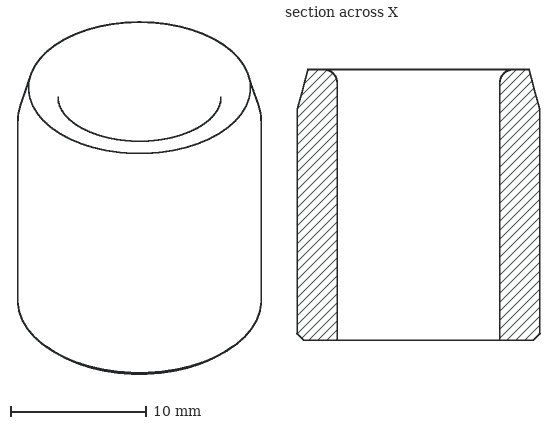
import cadquery as cq
import math

outer_diameter = 18.0
bore_diameter = 12.0
height = 20.0
taper_height = 3.0
taper_angle = 15.0
bottom_chamfer = 0.5
bore_entry_radius = 1.0

outer_radius = outer_diameter / 2
shoulder_z = height - taper_height
top_radius = outer_radius - taper_height * math.tan(math.radians(taper_angle))


def make_outer_body():
    """Solid of revolution: chamfered foot, cylinder and tapered nose, standing on Z = 0."""
    half_profile = (
        cq.Workplane("XZ")
        .moveTo(0, 0)
        .lineTo(outer_radius - bottom_chamfer, 0)
        .lineTo(outer_radius, bottom_chamfer)
        .lineTo(outer_radius, shoulder_z)
        .lineTo(top_radius, height)
        .lineTo(0, height)
        .close()
    )
    return half_profile.revolve(360, (0, 0, 0), (0, 1, 0))


def cut_bore(body):
    """Through bore along Z."""
    return body.faces(">Z").workplane().hole(bore_diameter)


def round_bore_entry(body):
    """Rounded lead-in at the top edge of the bore."""
    bore_edge = cq.selectors.RadiusNthSelector(0)
    return body.faces(">Z").edges(bore_edge).fillet(bore_entry_radius)


result = round_bore_entry(cut_bore(make_outer_body()))